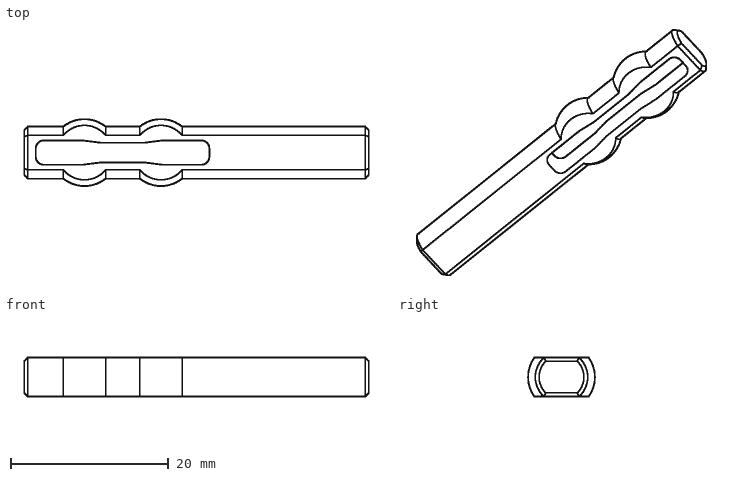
import cadquery as cq

length = 43.75
rod_diameter = 6.65
flat_thickness = 5.0
end_chamfer = 0.5

bump_diameter = 8.55
first_bump_x = 7.65
bump_spacing = 9.7

slot_start = 1.5
slot_length = 22.0
slot_width = 3.05
slot_corner_radius = 1.0
waist_width = 2.5
waist_length = 5.75
taper_length = 2.25

bump_positions = [first_bump_x, first_bump_x + bump_spacing]
slot_end = slot_start + slot_length
slot_center = (slot_start + slot_end) / 2


def flatten(body):
    """Keep the part of the body between the two flats."""
    return body.intersect(cq.Workplane("XY").box(2 * length, 2 * bump_diameter, flat_thickness))


def make_rod():
    """Rod with two flats, chamfered all around both ends."""
    round_rod = cq.Workplane("YZ").circle(rod_diameter / 2).extrude(length)
    return flatten(round_rod).faces("<X or >X").chamfer(end_chamfer)


def make_bump(x):
    """Sphere centred on the rod axis, cut to the flats."""
    return flatten(cq.Workplane("XY").sphere(bump_diameter / 2).translate((x, 0, 0)))


def make_slot():
    """Cutter for the rounded slot with tapers leading to its waist."""
    half_width = slot_width / 2
    half_waist = waist_width / 2
    waist_start = slot_center - waist_length / 2
    waist_end = slot_center + waist_length / 2
    upper_side = [
        (slot_start, half_width),
        (waist_start - taper_length, half_width),
        (waist_start, half_waist),
        (waist_end, half_waist),
        (waist_end + taper_length, half_width),
        (slot_end, half_width),
    ]
    lower_side = [(x, -y) for x, y in reversed(upper_side)]
    outline = cq.Workplane("XY").polyline(upper_side + lower_side).close()
    cutter = outline.extrude(flat_thickness, both=True)
    return cutter.faces("<X or >X").edges("|Z").fillet(slot_corner_radius)


result = make_rod()
for bump_x in bump_positions:
    result = result.union(make_bump(bump_x))
result = result.cut(make_slot())